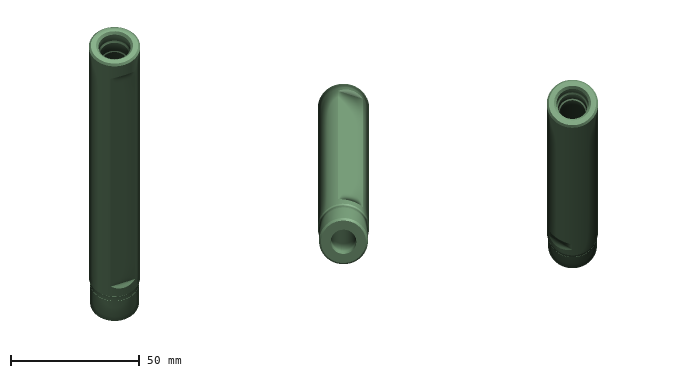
import cadquery as cq

length = 156.0
body_diameter = 20.0
edge_chamfer = 0.8

spigot_diameter = 19.0
groove_diameter = 18.9
groove_bottom = 12.8
shoulder_height = 15.3

bore_diameter = 10.0
step_diameter = 11.2
seat_diameter = 12.5
mouth_diameter = 14.4
seat_depth = 4.5
step_depth = 10.0
seat_cone_height = (seat_diameter - step_diameter) / 2
mouth_chamfer = (mouth_diameter - seat_diameter) / 2

short_flat_distance = 8.5
long_flat_distance = 8.6
flat_bottom = 20.6
short_flat_top = 29.5
long_flat_top = 149.0


def cylinder(diameter, bottom, top):
    return cq.Workplane("XY").workplane(offset=bottom).circle(diameter / 2).extrude(top - bottom)


def cone(lower_diameter, upper_diameter, bottom):
    """Frustum widening upward at 45 degrees."""
    height = (upper_diameter - lower_diameter) / 2
    lower = cq.Workplane("XY").workplane(offset=bottom).circle(lower_diameter / 2)
    return lower.workplane(offset=height).circle(upper_diameter / 2).loft(ruled=True)


def flat_cutter(side, distance, bottom, top):
    """Trapezoidal prism that mills a flat on the +X (side = 1) or -X (side = -1) side."""
    outer = side * body_diameter / 2
    floor = side * distance
    depth = body_diameter / 2 - distance
    profile = [
        (outer, bottom),
        (floor, bottom + depth),
        (floor, top - depth),
        (outer, top),
    ]
    return cq.Workplane("XZ").polyline(profile).close().extrude(body_diameter / 2, both=True)


body = cylinder(body_diameter, shoulder_height, length).faces("<Z or >Z").chamfer(edge_chamfer)
spigot = cylinder(spigot_diameter, 0, groove_bottom).faces("<Z").chamfer(edge_chamfer)
neck = cylinder(groove_diameter, groove_bottom, shoulder_height)
result = body.union(spigot).union(neck)

result = result.cut(flat_cutter(-1, short_flat_distance, flat_bottom, short_flat_top))
result = result.cut(flat_cutter(1, long_flat_distance, flat_bottom, long_flat_top))

result = result.cut(cylinder(bore_diameter, 0, length))
result = result.cut(cylinder(step_diameter, length - step_depth, length))
result = result.cut(cylinder(seat_diameter, length - seat_depth, length))
result = result.cut(cone(step_diameter, seat_diameter, length - seat_depth - seat_cone_height))
result = result.cut(cone(seat_diameter, mouth_diameter, length - mouth_chamfer))